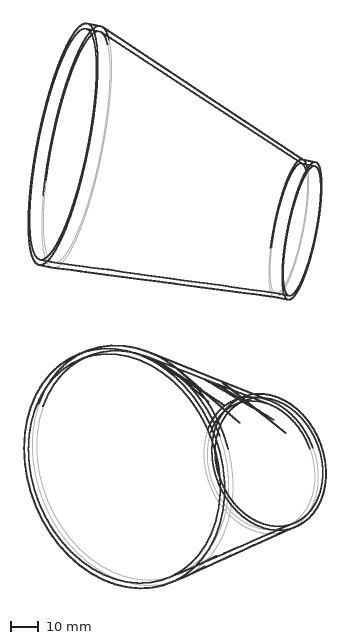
import cadquery as cq

length = 90.0
collar_length = 5.0
large_outer_diameter = 89.1
large_inner_diameter = 85.1
small_outer_diameter = 50.8
small_inner_diameter = 47.8

small_end_drop = (large_outer_diameter - small_outer_diameter) / 2
taper_length = length - 2 * collar_length


def reducer_body(large_diameter, small_diameter):
    """Solid made of a large collar, an eccentric taper and a small collar."""
    large_collar = cq.Workplane("YZ").circle(large_diameter / 2).extrude(collar_length)
    taper = (
        cq.Workplane("YZ", origin=(collar_length, 0, 0))
        .circle(large_diameter / 2)
        .workplane(offset=taper_length)
        .center(0, -small_end_drop)
        .circle(small_diameter / 2)
        .loft(ruled=True)
    )
    small_collar = (
        cq.Workplane("YZ", origin=(length - collar_length, 0, -small_end_drop))
        .circle(small_diameter / 2)
        .extrude(collar_length)
    )
    return large_collar.union(taper).union(small_collar)


outside = reducer_body(large_outer_diameter, small_outer_diameter)
bore = reducer_body(large_inner_diameter, small_inner_diameter)
result = outside.cut(bore)